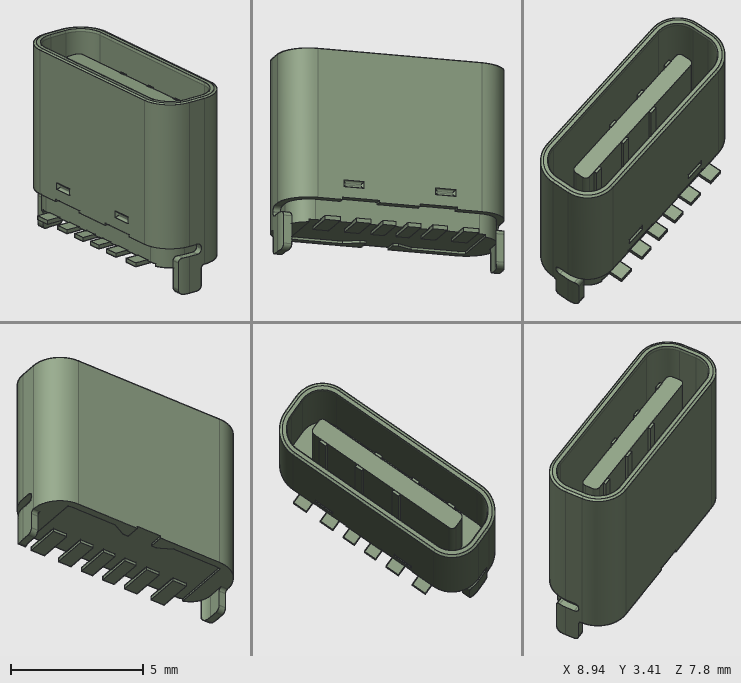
import cadquery as cq
import math

SHELL_LENGTH = 8.94
SHELL_DEPTH = 3.15
SHELL_HEIGHT = 6.785
CORNER_RADIUS = 1.22
WALL = 0.295

OUTER_BEVEL_WIDTH = 0.11
OUTER_BEVEL_HEIGHT = 0.04
INNER_BEVEL_WIDTH = 0.031
INNER_BEVEL_HEIGHT = 0.11

FRONT_RIM_Z = 0.89
NOTCH_OFFSET = 1.55
NOTCH_WIDTH = 1.475
NOTCH_HEIGHT = 0.09

LEG_LENGTH = 1.01
LEG_BACK_Y = 0.215
LEG_FRONT_Y = -0.81
LEG_TIP_RADIUS = 0.215
LEG_SHOULDER_RADIUS = 0.18
LEG_ROOT_RADIUS = 0.13
SLOT_HEIGHT = 0.41
SLOT_END_RADIUS = 0.19

DIMPLE_OFFSET = 1.82
DIMPLE_Z = 1.54
DIMPLE_WIDTH = 0.805
DIMPLE_HEIGHT = 0.26
DIMPLE_DEPTH = 0.11
DIMPLE_FLOOR_RADIUS = 0.1

BASE_HEIGHT = 1.43
TONGUE_LENGTH = 6.62
TONGUE_THICKNESS = 0.71
TONGUE_CORNER_RADIUS = 0.19
TONGUE_TIP_DROP = 0.635

RECESS_LENGTH = 7.01
RECESS_HEIGHT = 0.1
CHANNEL_WIDTH = 1.07
RIB_FRONT_X = 0.77
RIB_BACK_X = 1.36
RIB_DEPTH = 0.31

TAIL_FRONT_Y = -1.83
TAIL_BOTTOM_Z = -0.03
TAIL_THICKNESS = 0.16
BLADE_WIDTH = 0.31
BLADE_THICKNESS = 0.11
BLADE_TOP_DROP = 0.66
CROSSBAR_BOTTOM_Z = 0.36
CROSSBAR_TOP_Z = 0.63
FRONT_FACE = -1
BACK_FACE = 1
CONTACTS = [
    (-2.75, 0.61, -2.68, FRONT_FACE),
    (-1.52, 0.58, -1.01, FRONT_FACE),
    (-0.49, 0.52, -0.7, BACK_FACE),
    (0.49, 0.52, 0.7, FRONT_FACE),
    (1.52, 0.58, 1.01, BACK_FACE),
    (2.75, 0.61, 2.68, BACK_FACE),
]

FRONT_Y = -SHELL_DEPTH / 2
BACK_Y = SHELL_DEPTH / 2
INNER_BACK_Y = BACK_Y - WALL


def block(x_range, y_range, z_range):
    """Box between two limits along each axis."""
    (x0, x1), (y0, y1), (z0, z1) = x_range, y_range, z_range
    return cq.Workplane("XY").box(x1 - x0, y1 - y0, z1 - z0, centered=False).translate((x0, y0, z0))


def rounded_prism(length, depth, radius, bottom_z, top_z):
    """Upright prism with a rounded-rectangle section, centred on the Z axis."""
    return (
        cq.Workplane("XY", origin=(0, 0, bottom_z))
        .rect(length, depth)
        .extrude(top_z - bottom_z)
        .edges("|Z")
        .fillet(radius)
    )


def shell_prism(inset, bottom_z, top_z):
    """Prism whose section is the shell outline moved inward by the inset."""
    return rounded_prism(
        SHELL_LENGTH - 2 * inset, SHELL_DEPTH - 2 * inset, CORNER_RADIUS - inset, bottom_z, top_z
    )


def mirrored_pair(solid):
    """The solid together with its mirror image across the YZ plane."""
    return solid.union(solid.mirror("YZ"))


def rim_profile():
    """Side outline, extruded along X, that trims the tube to its rims, legs and slots."""
    slot_bottom_z = FRONT_RIM_Z - SLOT_HEIGHT
    slot_end_y = LEG_BACK_Y - SLOT_END_RADIUS
    slot_lower_z = slot_bottom_z + SLOT_END_RADIUS
    slot_upper_z = FRONT_RIM_Z - SLOT_END_RADIUS
    diagonal = math.sqrt(0.5)

    def corner(centre_y, centre_z, radius, y_sign, z_sign):
        """Midpoint of a quarter arc about the given centre."""
        return (centre_y + y_sign * radius * diagonal, centre_z + z_sign * radius * diagonal)

    tip_z = -LEG_LENGTH + LEG_TIP_RADIUS
    tip_back_y = LEG_BACK_Y - LEG_TIP_RADIUS
    tip_front_y = LEG_FRONT_Y + LEG_TIP_RADIUS
    root_y = LEG_BACK_Y + LEG_ROOT_RADIUS
    shoulder_y = LEG_FRONT_Y + LEG_SHOULDER_RADIUS
    shoulder_z = slot_bottom_z - LEG_SHOULDER_RADIUS
    return (
        cq.Workplane("YZ")
        .moveTo(BACK_Y, SHELL_HEIGHT)
        .lineTo(BACK_Y, 0)
        .lineTo(root_y, 0)
        .threePointArc(
            corner(root_y, -LEG_ROOT_RADIUS, LEG_ROOT_RADIUS, -1, 1), (LEG_BACK_Y, -LEG_ROOT_RADIUS)
        )
        .lineTo(LEG_BACK_Y, tip_z)
        .threePointArc(corner(tip_back_y, tip_z, LEG_TIP_RADIUS, 1, -1), (tip_back_y, -LEG_LENGTH))
        .lineTo(tip_front_y, -LEG_LENGTH)
        .threePointArc(corner(tip_front_y, tip_z, LEG_TIP_RADIUS, -1, -1), (LEG_FRONT_Y, tip_z))
        .lineTo(LEG_FRONT_Y, shoulder_z)
        .threePointArc(
            corner(shoulder_y, shoulder_z, LEG_SHOULDER_RADIUS, -1, 1), (shoulder_y, slot_bottom_z)
        )
        .lineTo(slot_end_y, slot_bottom_z)
        .threePointArc(
            corner(slot_end_y, slot_lower_z, SLOT_END_RADIUS, 1, -1), (LEG_BACK_Y, slot_lower_z)
        )
        .lineTo(LEG_BACK_Y, slot_upper_z)
        .threePointArc(
            corner(slot_end_y, slot_upper_z, SLOT_END_RADIUS, 1, 1), (slot_end_y, FRONT_RIM_Z)
        )
        .lineTo(FRONT_Y, FRONT_RIM_Z)
        .lineTo(FRONT_Y, SHELL_HEIGHT)
        .close()
        .extrude(SHELL_LENGTH / 2, both=True)
    )


def dimple():
    """Blind pocket with a rounded floor for the front wall, on the +X side."""
    return (
        block(
            (DIMPLE_OFFSET - DIMPLE_WIDTH / 2, DIMPLE_OFFSET + DIMPLE_WIDTH / 2),
            (FRONT_Y, FRONT_Y + DIMPLE_DEPTH),
            (DIMPLE_Z - DIMPLE_HEIGHT / 2, DIMPLE_Z + DIMPLE_HEIGHT / 2),
        )
        .faces(">Y")
        .edges()
        .fillet(DIMPLE_FLOOR_RADIUS)
    )


def make_shell():
    """Tube with a bevelled mouth, stepped lower rim, two legs and two dimples."""
    outside = (
        shell_prism(0, -LEG_LENGTH, SHELL_HEIGHT)
        .faces(">Z")
        .chamfer(OUTER_BEVEL_HEIGHT, OUTER_BEVEL_WIDTH)
    )
    inside = shell_prism(WALL, -LEG_LENGTH, SHELL_HEIGHT)
    mouth = (
        shell_prism(WALL - INNER_BEVEL_WIDTH, SHELL_HEIGHT - INNER_BEVEL_HEIGHT, SHELL_HEIGHT + WALL)
        .faces("<Z")
        .chamfer(INNER_BEVEL_HEIGHT, INNER_BEVEL_WIDTH)
    )
    tube = outside.cut(inside).cut(mouth).intersect(rim_profile())
    notch = block(
        (NOTCH_OFFSET - NOTCH_WIDTH / 2, NOTCH_OFFSET + NOTCH_WIDTH / 2),
        (FRONT_Y, FRONT_Y + WALL),
        (FRONT_RIM_Z, FRONT_RIM_Z + NOTCH_HEIGHT),
    )
    return tube.cut(mirrored_pair(notch)).cut(mirrored_pair(dimple()))


def rib():
    """Low rib under the base with a slanted outer side, on the +X side of the channel."""
    return (
        cq.Workplane("XY")
        .polyline(
            [
                (CHANNEL_WIDTH / 2, INNER_BACK_Y),
                (CHANNEL_WIDTH / 2, INNER_BACK_Y - RIB_DEPTH),
                (RIB_FRONT_X, INNER_BACK_Y - RIB_DEPTH),
                (RIB_BACK_X, INNER_BACK_Y),
            ]
        )
        .close()
        .extrude(RECESS_HEIGHT)
    )


def make_insulator():
    """Base that fills the tube, recessed underneath, with the tongue standing on it."""
    base = shell_prism(WALL, 0, BASE_HEIGHT)
    recess = block((-RECESS_LENGTH / 2, RECESS_LENGTH / 2), (FRONT_Y, INNER_BACK_Y), (0, RECESS_HEIGHT))
    tongue = rounded_prism(
        TONGUE_LENGTH, TONGUE_THICKNESS, TONGUE_CORNER_RADIUS, BASE_HEIGHT, SHELL_HEIGHT - TONGUE_TIP_DROP
    )
    return base.cut(recess).union(mirrored_pair(rib())).union(tongue)


def make_contact(tail_x, tail_width, blade_x, face):
    """One contact with its tail under the base and its blade along one face of the tongue.

    Inside the base a stem rises from the tail, a bridge leads to the blade's face of the tongue
    and a crossbar leads sideways to the blade.
    """
    tail_left = tail_x - tail_width / 2
    tail_right = tail_x + tail_width / 2
    blade_left = blade_x - BLADE_WIDTH / 2
    blade_right = blade_x + BLADE_WIDTH / 2
    inner_y = TONGUE_THICKNESS / 2
    outer_y = inner_y + BLADE_THICKNESS
    front_y_range = (-outer_y, -inner_y)
    blade_y_range = front_y_range if face == FRONT_FACE else (inner_y, outer_y)

    tail = block(
        (tail_left, tail_right),
        (TAIL_FRONT_Y, -inner_y),
        (TAIL_BOTTOM_Z, TAIL_BOTTOM_Z + TAIL_THICKNESS),
    )
    stem = block((tail_left, tail_right), front_y_range, (TAIL_BOTTOM_Z, CROSSBAR_TOP_Z))
    bridge = block(
        (tail_left, tail_right), (-outer_y, blade_y_range[1]), (CROSSBAR_BOTTOM_Z, CROSSBAR_TOP_Z)
    )
    crossbar = block(
        (min(tail_left, blade_left), max(tail_right, blade_right)),
        blade_y_range,
        (CROSSBAR_BOTTOM_Z, CROSSBAR_TOP_Z),
    )
    blade = block(
        (blade_left, blade_right), blade_y_range, (CROSSBAR_BOTTOM_Z, SHELL_HEIGHT - BLADE_TOP_DROP)
    )
    return tail.union(stem).union(bridge).union(crossbar).union(blade)


def make_receptacle(contacts):
    """Shell and insulator as one solid, with passages for the contacts and the rear channel."""
    channel = block((-CHANNEL_WIDTH / 2, CHANNEL_WIDTH / 2), (FRONT_Y, BACK_Y), (0, RECESS_HEIGHT))
    receptacle = make_shell().union(make_insulator()).cut(channel)
    for contact in contacts:
        receptacle = receptacle.cut(contact)
    return receptacle


contacts = [make_contact(*contact_sizes) for contact_sizes in CONTACTS]
receptacle = make_receptacle(contacts)

result = cq.Compound.makeCompound([receptacle.val(), *[contact.val() for contact in contacts]])